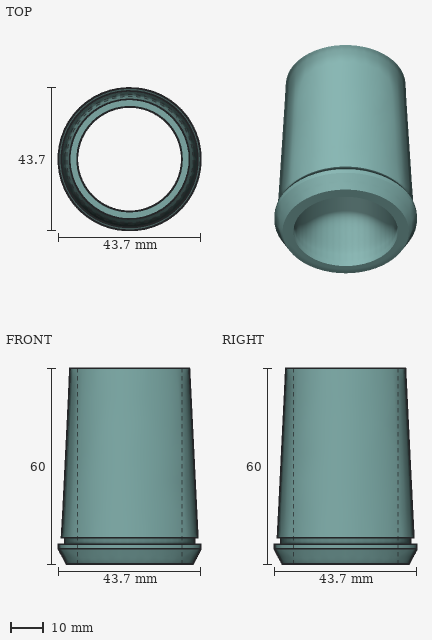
import cadquery as cq

total_height = 60.0
chamfer_height = 4.7
flange_top = 6.1
groove_top = 8.05

bore_diameter = 32.0
bottom_diameter = 38.7
flange_diameter = 43.7
groove_diameter = 39.8
sleeve_base_diameter = 41.8
sleeve_top_diameter = 36.65

half_section = [
    (bore_diameter / 2, 0),
    (bottom_diameter / 2, 0),
    (flange_diameter / 2, chamfer_height),
    (flange_diameter / 2, flange_top),
    (groove_diameter / 2, flange_top),
    (groove_diameter / 2, groove_top),
    (sleeve_base_diameter / 2, groove_top),
    (sleeve_top_diameter / 2, total_height),
    (bore_diameter / 2, total_height),
]

result = cq.Workplane("XZ").polyline(half_section).close().revolve(360, (0, 0), (0, 1))